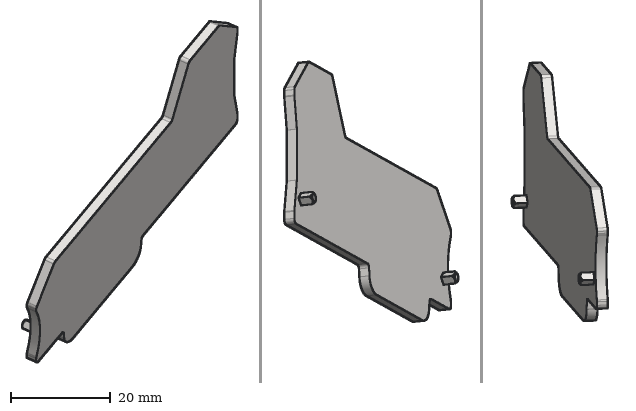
import cadquery as cq
import math

length = 77.6
height = 40.5
plate_thickness = 2.25
rear_y = length / 2
front_y = -length / 2
corner_radius = 0.9

corner_chamfer = 7.1
shoulder_z = 29.0
peak_front_y = 20.1
slope_angle = 60.0
slope_run = (height - shoulder_z) / math.tan(math.radians(slope_angle))
valley_radius = 0.8
peak_rear_radius = 0.5

base_z = 5.4

rear_hollow_depth = 1.25
rear_hollow_top_z = 31.8
rear_hollow_bottom_z = 7.9
rear_flat_top_z = 25.15
rear_flat_bottom_z = 14.6
front_hollow_depth = 1.5
front_hollow_top_z = 20.95
front_hollow_bottom_z = 7.3

tab_center_y = -13.2
tab_root_width = 30.1
tab_draft = 6.0
tab_bottom_width = tab_root_width - 2 * base_z * math.tan(math.radians(tab_draft))
tab_corner_radius = 3.5
tab_root_radius = 0.8

pin_length = 2.9
pin_diagonal = 2.55
pin_tip_radius = 0.85
pin_z = 11.1
pin_y_positions = (35.5, -35.1)


def round_corners(solid, points, radius):
    """Fillet the through-thickness edges at the given (y, z) points."""
    for y, z in points:
        corner = cq.selectors.NearestToPointSelector((plate_thickness / 2, y, z))
        solid = solid.edges("|X").edges(corner).fillet(radius)
    return solid


def make_plate():
    """Extrude the body outline, then round its corners."""
    front_hollow_mid_z = (front_hollow_top_z + front_hollow_bottom_z) / 2
    body = (
        cq.Workplane("YZ")
        .moveTo(rear_y, base_z)
        .lineTo(rear_y, rear_hollow_bottom_z)
        .lineTo(rear_y - rear_hollow_depth, rear_flat_bottom_z)
        .lineTo(rear_y - rear_hollow_depth, rear_flat_top_z)
        .lineTo(rear_y, rear_hollow_top_z)
        .lineTo(rear_y, height - corner_chamfer)
        .lineTo(rear_y - corner_chamfer, height)
        .lineTo(peak_front_y, height)
        .lineTo(peak_front_y - slope_run, shoulder_z)
        .lineTo(front_y + corner_chamfer, shoulder_z)
        .lineTo(front_y, shoulder_z - corner_chamfer)
        .lineTo(front_y, front_hollow_top_z)
        .threePointArc(
            (front_y + front_hollow_depth, front_hollow_mid_z),
            (front_y, front_hollow_bottom_z),
        )
        .lineTo(front_y, base_z)
        .lineTo(tab_center_y - tab_root_width / 2, base_z)
        .lineTo(tab_center_y - tab_bottom_width / 2, 0)
        .lineTo(tab_center_y + tab_bottom_width / 2, 0)
        .lineTo(tab_center_y + tab_root_width / 2, base_z)
        .close()
        .extrude(plate_thickness)
    )

    body = round_corners(body, [(peak_front_y - slope_run, shoulder_z)], valley_radius)
    body = round_corners(body, [(rear_y - corner_chamfer, height)], peak_rear_radius)
    outer_corners = [
        (rear_y, base_z),
        (rear_y, rear_hollow_bottom_z),
        (rear_y, rear_hollow_top_z),
        (rear_y, height - corner_chamfer),
        (peak_front_y, height),
        (front_y + corner_chamfer, shoulder_z),
        (front_y, shoulder_z - corner_chamfer),
        (front_y, front_hollow_top_z),
        (front_y, front_hollow_bottom_z),
        (front_y, base_z),
    ]
    body = round_corners(body, outer_corners, corner_radius)
    for side in (-1, 1):
        root = (tab_center_y + side * tab_root_width / 2, base_z)
        bottom = (tab_center_y + side * tab_bottom_width / 2, 0)
        body = round_corners(body, [root], tab_root_radius)
        body = round_corners(body, [bottom], tab_corner_radius)
    return body


def make_pin(y):
    """Build one pin from the plate face to its tip, limited by a 45 degree cone."""
    half_diagonal = pin_diagonal / 2
    cone_length = half_diagonal - pin_tip_radius
    prism = (
        cq.Workplane("YZ", origin=(0, y, pin_z))
        .polygon(4, pin_diagonal)
        .extrude(-pin_length)
    )
    envelope = (
        cq.Workplane("YZ", origin=(0, y, pin_z))
        .circle(half_diagonal)
        .extrude(-pin_length)
        .faces("<X")
        .chamfer(cone_length)
    )
    return prism.intersect(envelope)


result = make_plate()
for pin_y in pin_y_positions:
    result = result.union(make_pin(pin_y))

result = result.translate(((pin_length - plate_thickness) / 2, 0, -height / 2))